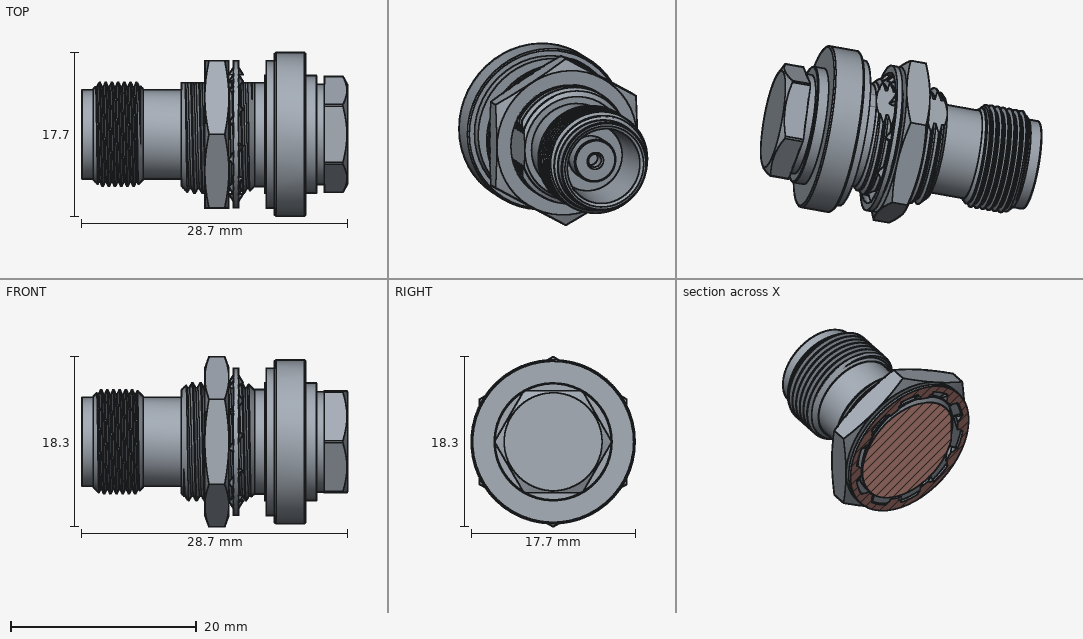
import cadquery as cq
import math


total_length = 28.7
tip_radius = 4.82
tip_chamfer = 0.1
front_thread_start = 1.24
front_thread_end = 6.66
front_thread_radius = 5.6
front_thread_chamfer = 0.72
rear_thread_start = 10.75
rear_thread_end = 18.65
rear_thread_radius = 6.35
rear_thread_chamfer = 0.78
rear_neck_radius = 5.64
seat_start = 19.73
seat_radius = rear_thread_radius
flange_start = 20.79
flange_end = 24.16
flange_radius = 8.84
flange_chamfer = 0.17
collar_end = 25.37
collar_chamfer = 0.1
wrench_neck_radius = 5.42
wrench_hex_start = 26.16
wrench_hex_flats = 10.95
wrench_corner_radius = 6.25
wrench_face_radius = 5.28
wrench_chamfer_length = 0.53
thread_flat_y = 5.57

front_pitch = 0.668
front_thread_depth = 0.45
front_first_crest = 2.104
rear_pitch = 0.884
rear_thread_depth = 0.5
rear_first_crest = 11.95
crest_width = 0.1
root_width_ratio = 0.25
lead_in_turns = 3
ridge_sink = 0.05
envelope_margin = 0.2

mouth_radius = 4.45
bore_front_radius = 4.1
mouth_chamfer_length = 0.2
bore_floor_radius = 3.7
bore_depth = 5.3
insulator_radius = 2.33
insulator_depth = 3.15
insulator_chamfer = 0.12
contact_hole_radius = 0.72
contact_hole_depth = 1.5
contact_countersink = 0.2

nut_start = 13.28
nut_end = 15.88
nut_flats = 15.875
nut_face_radius = 7.92
nut_chamfer_length = 0.45

washer_start = 16.36
washer_end = 16.92
washer_outer_radius = nut_flats / 2
washer_inner_radius = 7.15
tooth_count = 10
tooth_tip_radius = 6.4
tooth_root_radius = 7.3
tooth_width = 2.2
tooth_root_thickness = 0.46
tooth_twist = 30

gasket_start = 19.9
gasket_radius = 7.95
gasket_recess_depth = 1.0
gasket_recess_radius = 8.09


def cylinder(start, end, radius):
    return cq.Workplane("YZ", origin=(start, 0, 0)).circle(radius).extrude(end - start)


def revolve_about_x(points):
    return cq.Workplane("XY").polyline(points).close().revolve(360, (0, 0, 0), (1, 0, 0))


def hexagon(start, end, flats):
    """Hexagonal prism along X with two corners on the Y axis."""
    corner_diameter = flats / math.cos(math.radians(30))
    return cq.Workplane("YZ", origin=(start, 0, 0)).polygon(6, corner_diameter).extrude(end - start)


def threaded_length(start, end, radius, chamfer, pitch, depth, first_crest):
    """Right-hand thread trimmed by a chamfered envelope; its first full crest crosses +Z at first_crest."""
    core_radius = radius - depth
    base_radius = core_radius - ridge_sink
    half_root = root_width_ratio * pitch / 2
    half_crest = crest_width / 2
    flank_slope = (pitch / 2 - half_root - half_crest) / depth
    half_base = half_crest + flank_slope * (radius - base_radius)
    helix_start = first_crest - lead_in_turns * pitch
    helix_length = end + pitch - helix_start
    helix = cq.Workplane(obj=cq.Wire.makeHelix(pitch, helix_length, base_radius))
    ridge = (
        cq.Workplane("XZ")
        .polyline(
            [
                (base_radius, -half_base),
                (radius, -half_crest),
                (radius, half_crest),
                (base_radius, half_base),
            ]
        )
        .close()
        .sweep(helix, isFrenet=True)
        .rotate((0, 0, 0), (0, 1, 0), -90)
        .rotate((0, 0, 0), (0, 0, 1), 180)
        .translate((helix_start, 0, 0))
    )
    core = cylinder(helix_start - pitch, end + 2 * pitch, core_radius)
    envelope = cylinder(start, end, radius + envelope_margin)
    envelope = envelope.edges().chamfer(chamfer + envelope_margin)
    return core.union(ridge).intersect(envelope)


def wrench_hex():
    envelope = revolve_about_x(
        [
            (wrench_hex_start, 0),
            (wrench_hex_start, wrench_corner_radius),
            (total_length - wrench_chamfer_length, wrench_corner_radius),
            (total_length, wrench_face_radius),
            (total_length, 0),
        ]
    )
    return hexagon(wrench_hex_start, total_length, wrench_hex_flats).intersect(envelope)


def socket_cavity():
    """Tapered socket around a shorter insulator that carries the contact hole."""
    bore = revolve_about_x(
        [
            (0, 0),
            (0, mouth_radius),
            (mouth_chamfer_length, bore_front_radius),
            (bore_depth, bore_floor_radius),
            (bore_depth, 0),
        ]
    )
    insulator = cylinder(insulator_depth, bore_depth, insulator_radius)
    insulator = insulator.faces("<X").chamfer(insulator_chamfer)
    contact_hole = revolve_about_x(
        [
            (insulator_depth, 0),
            (insulator_depth, contact_hole_radius + contact_countersink),
            (insulator_depth + contact_countersink, contact_hole_radius),
            (insulator_depth + contact_hole_depth, contact_hole_radius),
            (insulator_depth + contact_hole_depth, 0),
        ]
    )
    return bore.cut(insulator).union(contact_hole)


def make_body():
    rear_thread = threaded_length(
        rear_thread_start,
        rear_thread_end,
        rear_thread_radius,
        rear_thread_chamfer,
        rear_pitch,
        rear_thread_depth,
        rear_first_crest,
    )
    rear_neck = cylinder(rear_thread_end, seat_start, rear_neck_radius)
    flat_side = cq.Workplane("XY").box(
        seat_start - rear_thread_start,
        flange_radius,
        2 * flange_radius,
        centered=(False, False, True),
    )
    flat_side = flat_side.translate((rear_thread_start, thread_flat_y, 0))
    rear_barrel = rear_thread.union(rear_neck).cut(flat_side)

    front_thread = threaded_length(
        front_thread_start,
        front_thread_end,
        front_thread_radius,
        front_thread_chamfer,
        front_pitch,
        front_thread_depth,
        front_first_crest,
    )
    barrel = cylinder(0, rear_thread_start, tip_radius).faces("<X").chamfer(tip_chamfer)
    recess_floor = flange_start + gasket_recess_depth
    seat = cylinder(seat_start, recess_floor, seat_radius)
    flange = cylinder(flange_start, flange_end, flange_radius).edges().chamfer(flange_chamfer)
    flange = flange.cut(cylinder(flange_start, recess_floor, gasket_recess_radius))
    collar = cylinder(flange_end, collar_end, seat_radius).faces(">X").chamfer(collar_chamfer)
    wrench_neck = cylinder(collar_end, wrench_hex_start, wrench_neck_radius)

    body = barrel.union(front_thread).union(rear_barrel).union(seat).union(flange)
    body = body.union(collar).union(wrench_neck).union(wrench_hex())
    return body.cut(socket_cavity())


def make_nut():
    corner_radius = nut_flats / 2 / math.cos(math.radians(30))
    envelope = revolve_about_x(
        [
            (nut_start, rear_thread_radius),
            (nut_start, nut_face_radius),
            (nut_start + nut_chamfer_length, corner_radius),
            (nut_end - nut_chamfer_length, corner_radius),
            (nut_end, nut_face_radius),
            (nut_end, rear_thread_radius),
        ]
    )
    blank = hexagon(nut_start, nut_end, nut_flats).rotate((0, 0, 0), (1, 0, 0), 90)
    return blank.intersect(envelope)


def make_washer():
    """Flat ring with teeth that point inward and are twisted about their own radial line."""
    thickness = washer_end - washer_start
    middle = (washer_start + washer_end) / 2
    ring = cylinder(washer_start, washer_end, washer_outer_radius)
    washer = ring.cut(cylinder(washer_start, washer_end, washer_inner_radius))
    tooth = (
        cq.Workplane("XZ", origin=(middle, -tooth_tip_radius, 0))
        .transformed(rotate=(0, 0, -tooth_twist))
        .rect(thickness, tooth_width)
        .transformed(rotate=(0, 0, tooth_twist))
        .workplane(offset=tooth_root_radius - tooth_tip_radius)
        .rect(tooth_root_thickness, tooth_width)
        .loft(ruled=True)
    )
    for index in range(tooth_count):
        washer = washer.union(tooth.rotate((0, 0, 0), (1, 0, 0), 360 / tooth_count * index))
    return washer


def make_gasket():
    """Flat ring around the seat, with its back part inside the flange recess."""
    recess_floor = flange_start + gasket_recess_depth
    ring = cylinder(gasket_start, recess_floor, gasket_radius)
    return ring.cut(cylinder(gasket_start, recess_floor, seat_radius))


body = make_body()
nut = make_nut()
washer = make_washer()
gasket = make_gasket()

result = cq.Compound.makeCompound([body.val(), nut.val(), washer.val(), gasket.val()])